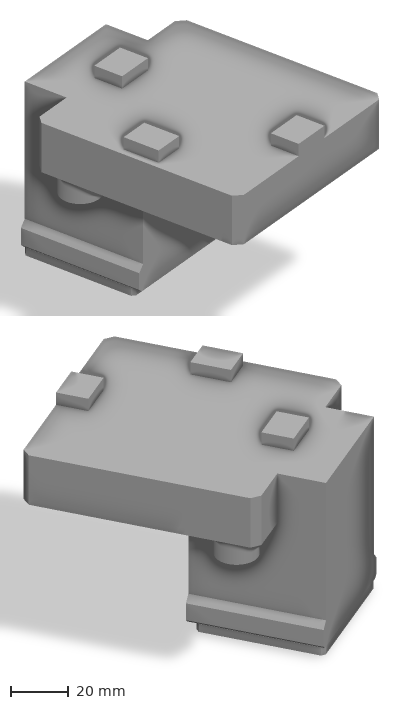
import cadquery as cq

total_length = 106.0
total_width = 85.0
total_height = 75.0

plate_start = 18.0
plate_thickness = 20.0
plate_corner = 3.0
tab_height = 5.0
tab_depth = 12.0
tab_width = 15.0
front_tab_inset = 2.6
plate_top = total_height - tab_height
plate_bottom = plate_top - plate_thickness
plate_length = total_length - plate_start
plate_middle = plate_start + plate_length / 2

column_length = 51.0
column_width = 47.5
foot_width = 52.0
foot_bottom = 3.8
foot_lower_edge = 5.0
foot_upper_edge = 11.8
foot_shoulder = 14.4
foot_bevel = 1.2
gusset_size = 11.3

pad_start = 0.1
pad_length = 47.8
pad_width = 49.9
pad_corner = 1.3
boss_diameter = 40.0
boss_height = 0.5
boss_x = pad_start + pad_length / 2

pin_diameter = 16.0
pin_length = 10.0
pin_x = 30.0
pin_y = 32.0


def block(x_start, length, y_middle, width, bottom, height):
    """Box given by its X start, Y middle and bottom height."""
    return cq.Workplane("XY").box(length, width, height, centered=(False, True, False)).translate(
        (x_start, y_middle, bottom)
    )


def cylinder(x, y, bottom, diameter, height):
    return cq.Workplane("XY").circle(diameter / 2).extrude(height).translate((x, y, bottom))


def make_plate():
    plate = block(plate_start, plate_length, 0, total_width, plate_bottom, plate_thickness)
    return plate.edges("|Z").chamfer(plate_corner)


def make_column():
    half_profile = [
        (foot_width / 2 - foot_bevel, foot_bottom),
        (foot_width / 2, foot_lower_edge),
        (foot_width / 2, foot_upper_edge),
        (column_width / 2, foot_shoulder),
        (column_width / 2, plate_top),
    ]
    mirrored_profile = [(-y, z) for y, z in reversed(half_profile)]
    return cq.Workplane("YZ").polyline(half_profile + mirrored_profile).close().extrude(column_length)


def make_gusset():
    triangle = [
        (column_length, plate_bottom),
        (column_length + gusset_size, plate_bottom),
        (column_length, plate_bottom - gusset_size),
    ]
    return cq.Workplane("XZ").polyline(triangle).close().extrude(column_width / 2, both=True)


def make_base():
    pad = block(pad_start, pad_length, 0, pad_width, boss_height, foot_bottom - boss_height)
    pad = pad.edges("|Z").chamfer(pad_corner)
    return pad.union(cylinder(boss_x, 0, 0, boss_diameter, boss_height))


result = make_plate().union(make_column()).union(make_gusset()).union(make_base())

for tab_start in (plate_start, total_length - tab_depth):
    result = result.union(block(tab_start, tab_depth, 0, tab_width, plate_top, tab_height))

front_tab_y = -total_width / 2 + front_tab_inset + tab_depth / 2
front_tab_start = plate_middle - tab_width / 2
result = result.union(block(front_tab_start, tab_width, front_tab_y, tab_depth, plate_top, tab_height))

for side in (-1, 1):
    result = result.union(cylinder(pin_x, side * pin_y, plate_bottom - pin_length, pin_diameter, pin_length))